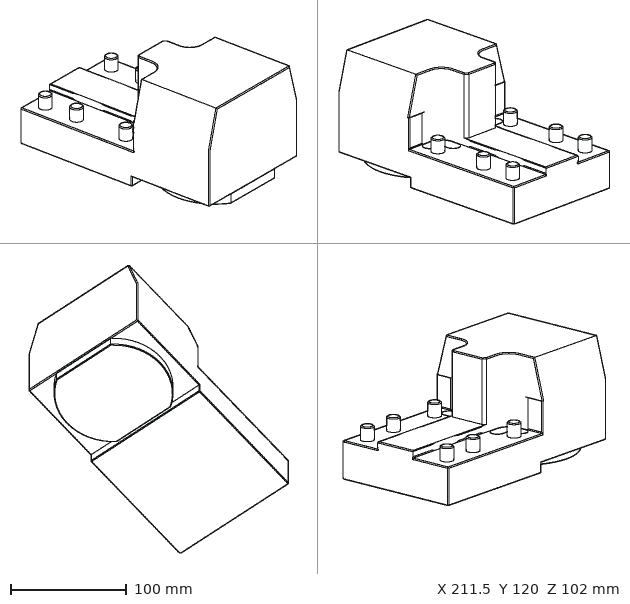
import cadquery as cq
import math

LENGTH = 211.54
WIDTH = 120.0
HEIGHT = 102.0
HALF_WIDTH = WIDTH / 2
EDGE_CHAMFER = 1.0
SMALL_CHAMFER = 0.7

SHELF_Z = 35.0
RAIL_Z = 42.0
RAIL_PAD_HALF_WIDTH = 20.0
RAIL_RELIEF = 0.5
RAIL_HALF_WIDTH = RAIL_PAD_HALF_WIDTH - RAIL_RELIEF
RAIL_PADS = ((0.0, 26.0), (61.0, 91.0))
RAIL_RUNOUT_RADIUS = 48.5 / 2
UNDERCUT = 1.5

FACE_X = 126.7
NOSE_X = 96.3
NOSE_HALF_WIDTH = RAIL_HALF_WIDTH
NOSE_CORNER = 3.0
NOSE_FILLET = 13.2
SLOPE_Z = 65.0
TOP_HALF_WIDTH = 50.0

FACE_PAD_DEPTH = 0.7
FACE_PAD_X = FACE_X - FACE_PAD_DEPTH
FACE_PAD_INNER_Y = 44.0
FACE_PAD_RUNOUT = 3.6
FACE_PAD_TOP_Z = 64.5

RELIEF_WIDTH = 13.0
RELIEF_DEPTH = 0.3
RELIEF_LEG = 7.7

PIN_DIAMETER = 12.0
PIN_TOP_Z = 48.0
PIN_CHAMFER = 1.0
PIN_XS = (15.9, 50.9, 105.9)
PIN_Y = 45.0

STEP_X = 124.8
STEP_Z = 9.5
DISC_DIAMETER = 103.0
DISC_HALF_LENGTH = 42.0
DISC_REAR_INSET = 0.7
DISC_CENTER_X = LENGTH - DISC_REAR_INSET - DISC_HALF_LENGTH


def box(x0, x1, y0, y1, z0, z1):
    return cq.Workplane("XY").box(x1 - x0, y1 - y0, z1 - z0, centered=False).translate((x0, y0, z0))


def both_sides(solid):
    """The solid together with its mirror image across the XZ plane."""
    return solid.union(solid.mirror("XZ"))


def prism_along_x(outline, x0, x1):
    """Solid with an outline of (y, z) points, running from x0 to x1."""
    return cq.Workplane("YZ").workplane(offset=x0).polyline(outline).close().extrude(x1 - x0)


def prism_along_y(outline, y0, y1):
    """Solid with an outline of (x, z) points, running from y0 to y1."""
    return cq.Workplane("XZ").workplane(offset=-y1).polyline(outline).close().extrude(y1 - y0)


def make_front_bevel(top_z):
    """Cutter that bevels the X = 0 end of a surface at height top_z."""
    corner = [(0, top_z), (EDGE_CHAMFER, top_z), (0, top_z - EDGE_CHAMFER)]
    return prism_along_y(corner, -HALF_WIDTH, HALF_WIDTH)


def make_base():
    """Full-length base up to shelf height, stepped on its underside and bevelled along its edges."""
    profile = [(0, 0), (STEP_X, 0), (STEP_X, STEP_Z), (LENGTH, STEP_Z), (LENGTH, SHELF_Z), (0, SHELF_Z)]
    base = prism_along_y(profile, -HALF_WIDTH, HALF_WIDTH)
    base = base.faces(">X").edges("|Z or <Z").chamfer(EDGE_CHAMFER)
    base = base.faces("<X").edges("|Z").chamfer(EDGE_CHAMFER)
    step_wall = base.faces(cq.selectors.NearestToPointSelector((STEP_X, 0, STEP_Z / 2)))
    base = step_wall.edges("|Z").chamfer(SMALL_CHAMFER)
    base = base.faces("<Z").edges().chamfer(SMALL_CHAMFER)
    base = base.faces("<Z[-2]").edges("|X").chamfer(SMALL_CHAMFER)
    side_corner = [
        (HALF_WIDTH, SHELF_Z),
        (HALF_WIDTH - EDGE_CHAMFER, SHELF_Z),
        (HALF_WIDTH, SHELF_Z - EDGE_CHAMFER),
    ]
    side_bevel = prism_along_x(side_corner, 0, FACE_PAD_X + EDGE_CHAMFER)
    return base.cut(make_front_bevel(SHELF_Z)).cut(both_sides(side_bevel))


def make_rail_pad(x0, x1):
    """Pad on the -Y side of the rail, running out at its ends along arcs tangent to the rail side."""
    runout = math.sqrt(2 * RAIL_RUNOUT_RADIUS * RAIL_RELIEF - RAIL_RELIEF**2)
    half_angle = math.asin(runout / RAIL_RUNOUT_RADIUS) / 2
    mid_run = RAIL_RUNOUT_RADIUS * math.sin(half_angle)
    mid_rise = RAIL_RUNOUT_RADIUS * (1 - math.cos(half_angle))
    side_y = -RAIL_HALF_WIDTH
    pad_y = -RAIL_PAD_HALF_WIDTH
    end = x1 + runout
    outline = cq.Workplane("XY").workplane(offset=SHELF_Z).moveTo(x0, pad_y).lineTo(x1, pad_y)
    outline = outline.threePointArc((end - mid_run, side_y - mid_rise), (end, side_y)).lineTo(end, 0)
    if x0 > 0:
        start = x0 - runout
        outline = outline.lineTo(start, 0).lineTo(start, side_y)
        outline = outline.threePointArc((start + mid_run, side_y - mid_rise), (x0, pad_y))
    else:
        outline = outline.lineTo(x0, 0)
    pad = outline.close().extrude(RAIL_Z - SHELF_Z)
    pad = pad.edges("|X").edges("<Y").edges(">Z").chamfer(SMALL_CHAMFER)
    undercut = prism_along_x([(pad_y, SHELF_Z), (pad_y, SHELF_Z + UNDERCUT), (side_y, SHELF_Z)], 0, LENGTH)
    return pad.cut(undercut)


def make_rail():
    bottom_z = SHELF_Z - EDGE_CHAMFER
    rail = box(0, NOSE_X + NOSE_CORNER, -RAIL_HALF_WIDTH, RAIL_HALF_WIDTH, bottom_z, RAIL_Z)
    for x0, x1 in RAIL_PADS:
        rail = rail.union(both_sides(make_rail_pad(x0, x1)))
    return rail.cut(make_front_bevel(RAIL_Z))


def make_block():
    """Block with sloped upper sides, narrowed to a nose in front of its face."""
    section = [
        (-HALF_WIDTH, SHELF_Z),
        (HALF_WIDTH, SHELF_Z),
        (HALF_WIDTH, SLOPE_Z),
        (TOP_HALF_WIDTH, HEIGHT),
        (-TOP_HALF_WIDTH, HEIGHT),
        (-HALF_WIDTH, SLOPE_Z),
    ]
    block = prism_along_x(section, FACE_X, LENGTH)
    block = block.faces(">X").edges("not <Z").chamfer(EDGE_CHAMFER)

    diagonal = NOSE_FILLET * (1 - math.sqrt(0.5))
    fillet_y = NOSE_HALF_WIDTH + NOSE_FILLET
    nose = (
        cq.Workplane("XY")
        .workplane(offset=SHELF_Z)
        .moveTo(NOSE_X, 0)
        .lineTo(NOSE_X, NOSE_HALF_WIDTH - NOSE_CORNER)
        .lineTo(NOSE_X + NOSE_CORNER, NOSE_HALF_WIDTH)
        .lineTo(FACE_X - NOSE_FILLET, NOSE_HALF_WIDTH)
        .threePointArc((FACE_X - diagonal, NOSE_HALF_WIDTH + diagonal), (FACE_X, fillet_y))
        .lineTo(FACE_X, 0)
        .close()
        .extrude(HEIGHT - SHELF_Z)
    )
    block = block.union(both_sides(nose)).clean()
    front_edges = block.edges(
        cq.selectors.BoxSelector(
            (0, -WIDTH, SHELF_Z + EDGE_CHAMFER), (FACE_X + EDGE_CHAMFER, WIDTH, HEIGHT + EDGE_CHAMFER)
        )
    )
    rim = [
        edge
        for edge in front_edges.vals()
        if edge.Center().z > HEIGHT - EDGE_CHAMFER or abs(edge.Center().y) > TOP_HALF_WIDTH
    ]
    return block.newObject(rim).chamfer(EDGE_CHAMFER)


def make_face_pad():
    """Seating pad on the +Y half of the block's front face, with a concave run-out to the face."""
    inner_y = FACE_PAD_INNER_Y - FACE_PAD_RUNOUT
    back_x = FACE_X + EDGE_CHAMFER
    pad = (
        cq.Workplane("XY")
        .workplane(offset=SHELF_Z)
        .moveTo(back_x, inner_y)
        .lineTo(FACE_X, inner_y)
        .threePointArc(
            (FACE_X - FACE_PAD_DEPTH / 4, inner_y + FACE_PAD_RUNOUT / 2), (FACE_PAD_X, FACE_PAD_INNER_Y)
        )
        .lineTo(FACE_PAD_X, HALF_WIDTH - EDGE_CHAMFER)
        .lineTo(FACE_PAD_X + EDGE_CHAMFER, HALF_WIDTH)
        .lineTo(back_x, HALF_WIDTH)
        .close()
        .extrude(FACE_PAD_TOP_Z - SHELF_Z)
    )
    corner = [(FACE_PAD_X, SHELF_Z), (FACE_PAD_X, SHELF_Z + UNDERCUT), (FACE_X, SHELF_Z)]
    undercut = prism_along_y(corner, 0, WIDTH)
    return pad.cut(undercut)


def make_corner_relief():
    """Cutter for the L-shaped relief on the +Y side, following the nose fillet."""
    radius = RELIEF_WIDTH / 2
    corner_x = FACE_X - NOSE_FILLET
    corner_y = NOSE_HALF_WIDTH + NOSE_FILLET
    far_x = corner_x + RELIEF_WIDTH
    near_y = corner_y - RELIEF_WIDTH
    x_end = corner_x - RELIEF_LEG
    y_end = corner_y + RELIEF_LEG
    diagonal = RELIEF_WIDTH * math.sqrt(0.5)
    return (
        cq.Workplane("XY")
        .workplane(offset=SHELF_Z - RELIEF_DEPTH)
        .moveTo(corner_x, corner_y)
        .lineTo(corner_x, y_end)
        .threePointArc((corner_x + radius, y_end + radius), (far_x, y_end))
        .lineTo(far_x, corner_y)
        .threePointArc((corner_x + diagonal, corner_y - diagonal), (corner_x, near_y))
        .lineTo(x_end, near_y)
        .threePointArc((x_end - radius, near_y + radius), (x_end, corner_y))
        .close()
        .extrude(RELIEF_DEPTH)
    )


def make_pins():
    return (
        cq.Workplane("XY")
        .workplane(offset=SHELF_Z - EDGE_CHAMFER)
        .pushPoints([(x, side * PIN_Y) for x in PIN_XS for side in (-1, 1)])
        .circle(PIN_DIAMETER / 2)
        .extrude(PIN_TOP_Z - SHELF_Z + EDGE_CHAMFER)
        .faces(">Z")
        .chamfer(PIN_CHAMFER)
    )


def make_disc():
    """Disc under the block, cut flat on its two X sides."""
    disc = cq.Workplane("XY").circle(DISC_DIAMETER / 2).extrude(STEP_Z)
    flats = box(-DISC_HALF_LENGTH, DISC_HALF_LENGTH, -WIDTH, WIDTH, 0, STEP_Z)
    return disc.intersect(flats).faces("<Z").chamfer(SMALL_CHAMFER).translate((DISC_CENTER_X, 0, 0))


body = make_base().union(make_block()).union(make_rail()).union(both_sides(make_face_pad()))
body = body.cut(both_sides(make_corner_relief()))
body = body.union(make_disc()).clean()
result = body.union(make_pins())